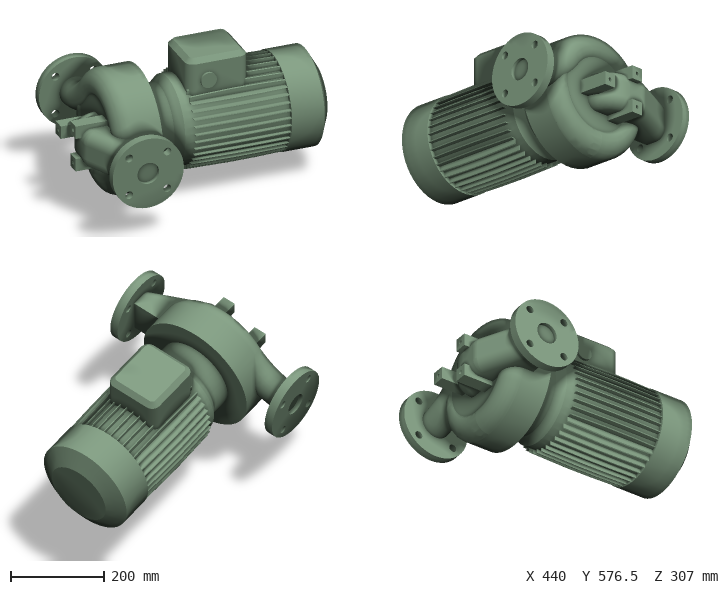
import math

import cadquery as cq


FACE_TO_FACE = 440.0
FLANGE_DIAMETER = 165.0
FLANGE_THICKNESS = 20.0
BOLT_CIRCLE = 125.0
BOLT_COUNT = 4
BOLT_HOLE_DIAMETER = 18.0
PORT_DIAMETER = 50.0
PORT_DEPTH = 10.0

CASING_RADIUS = 140.0
CASING_BACK_Y = 68.0
RING_TUBE_RADIUS = 34.5
RING_CREST_RADIUS = CASING_RADIUS - RING_TUBE_RADIUS
COVER_PLATE_Y = -27.0
RING_END_ANGLE = 270.0
TAIL_END_ANGLE = 160.0
TAIL_END_TUBE_RADIUS = 28.0
TAIL_SECTION_COUNT = 6

SUCTION_HALF_WIDTH = 42.5
SUCTION_BACK_Y = 24.0
SUCTION_FRONT_Y = -88.5
SUCTION_EDGE_RADIUS = 25.0
NOSE_RADIUS = 67.0
NOSE_CENTER_X = 29.5
BEND_CORNER_X = 75.0
BEND_RADIUS = 26.0
SUCTION_SLOPE = 25.0

FOOT_SIZE = 30.0
FOOT_END_Y = -101.0
FOOT_CENTERS = [(-45.0, 0.0), (39.0, 39.0), (39.0, -39.0)]
FOOT_HOLE_DIAMETER = 8.5
FOOT_HOLE_DEPTH = 20.0

LANTERN_RADIUS = 87.5
FRAME_RADIUS = 102.0
FAN_COVER_RADIUS = 112.5
FAN_COVER_END_RADIUS = 73.0
CONE_START_Y = 115.0
CONE_END_Y = 134.0
FIN_START_Y = 155.0
FAN_COVER_START_Y = 377.5
FAN_COVER_TAPER_Y = 453.0
MOTOR_END_Y = 475.5
FIN_PITCH_ANGLE = 9.0
FINS_PER_HALF_SIDE = 5
FIN_THICKNESS = 2.0
FIN_END_RADIUS = 111.0
FIN_CROWN_RADIUS = 113.0

BOX_WIDTH = 129.0
BOX_LENGTH = 141.0
BOX_TOP_Z = 167.0
BOX_CORNER_RADIUS = 20.0
BOX_CHAMFER = 11.0
GLAND_RADIUS = 18.0
GLAND_LENGTH = 6.0
GLAND_Y = 202.0
GLAND_Z = 115.0


def make_flange(side):
    """Drilled flange at the -X (side = -1) or +X (side = +1) end, with its blind port."""
    outer_face = cq.Plane(
        origin=(side * FACE_TO_FACE / 2, 0, 0), xDir=(0, 1, 0), normal=(-side, 0, 0)
    )
    flange = cq.Workplane(outer_face).circle(FLANGE_DIAMETER / 2).extrude(FLANGE_THICKNESS)
    holes = (
        cq.Workplane(outer_face)
        .polarArray(BOLT_CIRCLE / 2, 180 / BOLT_COUNT, 360, BOLT_COUNT)
        .circle(BOLT_HOLE_DIAMETER / 2)
        .extrude(FLANGE_THICKNESS)
    )
    return flange.cut(holes)


def make_port(side):
    """Port cylinder reaching inwards from the outer face of a flange."""
    face = cq.Plane(origin=(side * FACE_TO_FACE / 2, 0, 0), normal=(-side, 0, 0))
    return cq.Workplane(face).circle(PORT_DIAMETER / 2).extrude(PORT_DEPTH)


def discharge_bend():
    """Radius and end angle of the arc that leaves the flange along X and touches the ring crest."""
    start = FACE_TO_FACE / 2
    radius = (start**2 - RING_CREST_RADIUS**2) / (2 * RING_CREST_RADIUS)
    angle = math.degrees(math.atan2(radius, start))
    return radius, angle


def make_discharge_pipe():
    """Round pipe curving up from the -X flange into the start of the volute ring."""
    radius, angle = discharge_bend()
    start_x = -FACE_TO_FACE / 2
    turn = math.radians(90 - angle)

    def on_bend(bend_turn):
        return (start_x + radius * math.sin(bend_turn), radius * (1 - math.cos(bend_turn)))

    path = (
        cq.Workplane("XZ")
        .moveTo(*on_bend(0))
        .threePointArc(on_bend(turn / 2), on_bend(turn))
    )
    section = cq.Workplane("YZ", origin=(start_x, 0, 0)).circle(RING_TUBE_RADIUS)
    pipe = section.sweep(path)
    flange_zone = (
        cq.Workplane("YZ", origin=(start_x, 0, 0))
        .rect(FLANGE_DIAMETER, FLANGE_DIAMETER)
        .extrude(FLANGE_THICKNESS)
    )
    return pipe.cut(flange_zone)


def tube_half_section(angle, tube_radius):
    """Half disc on the front side (-Y) of the casing, touching its outer radius at an angle."""
    direction = math.radians(angle)
    center_radius = CASING_RADIUS - tube_radius
    radial = cq.Vector(math.cos(direction), 0, math.sin(direction))
    plane = cq.Plane(
        origin=(radial * center_radius).toTuple(),
        xDir=radial.toTuple(),
        normal=(math.sin(direction), 0, -math.cos(direction)),
    )
    return (
        cq.Workplane(plane)
        .moveTo(tube_radius, 0)
        .threePointArc((0, tube_radius), (-tube_radius, 0))
        .close()
    )


def make_ring():
    """Constant part of the volute, clockwise from the discharge joint to the bottom."""
    _, joint = discharge_bend()
    start_angle = 180 - joint
    sweep_angle = start_angle + 360 - RING_END_ANGLE
    inner_radius = RING_CREST_RADIUS - RING_TUBE_RADIUS
    half_disc = (
        cq.Workplane("XY")
        .moveTo(CASING_RADIUS, 0)
        .threePointArc((RING_CREST_RADIUS, -RING_TUBE_RADIUS), (inner_radius, 0))
        .close()
    )
    ring = half_disc.revolve(sweep_angle, (0, 0, 0), (0, 1, 0))
    return ring.rotate((0, 0, 0), (0, 1, 0), -start_angle)


def make_tail():
    """Narrowing part of the volute, from the bottom round to the discharge pipe."""
    sections = []
    for index in range(TAIL_SECTION_COUNT):
        share = index / (TAIL_SECTION_COUNT - 1)
        angle = RING_END_ANGLE + share * (TAIL_END_ANGLE - RING_END_ANGLE)
        tube_radius = RING_TUBE_RADIUS + share * (TAIL_END_TUBE_RADIUS - RING_TUBE_RADIUS)
        sections.append(tube_half_section(angle, tube_radius).val())
    return cq.Workplane(cq.Solid.makeLoft(sections))


def make_cover_plate():
    """Flat cover closing the middle of the volute ring."""
    return cq.Workplane("XZ").circle(RING_CREST_RADIUS).extrude(-COVER_PLATE_Y)


def make_suction_pipe():
    """Flat-sided pipe from the +X flange, bending into the middle of the cover plate."""
    end_x = FACE_TO_FACE / 2 - FLANGE_THICKNESS
    slope = math.tan(math.radians(SUCTION_SLOPE))
    end_y = SUCTION_FRONT_Y + (end_x - BEND_CORNER_X) * slope
    nose_center_y = SUCTION_FRONT_Y + NOSE_RADIUS
    nose_diagonal = NOSE_RADIUS * math.sqrt(0.5)
    nose_x = NOSE_CENTER_X - NOSE_RADIUS
    pipe = (
        cq.Workplane("XY")
        .moveTo(nose_x, SUCTION_BACK_Y)
        .lineTo(nose_x, nose_center_y)
        .threePointArc(
            (NOSE_CENTER_X - nose_diagonal, nose_center_y - nose_diagonal),
            (NOSE_CENTER_X, SUCTION_FRONT_Y),
        )
        .lineTo(BEND_CORNER_X, SUCTION_FRONT_Y)
        .lineTo(end_x, end_y)
        .lineTo(end_x, SUCTION_BACK_Y)
        .close()
        .extrude(SUCTION_HALF_WIDTH, both=True)
    )
    bend_edge = cq.selectors.NearestToPointSelector((BEND_CORNER_X, SUCTION_FRONT_Y, 0))
    pipe = pipe.edges("|Z").edges(bend_edge).fillet(BEND_RADIUS)
    return pipe.faces("<Y").edges(">Z or <Z").fillet(SUCTION_EDGE_RADIUS)


def make_foot(x, z):
    """Square foot standing on the cover plate, with a blind screw hole in its end."""
    end_face = cq.Plane(origin=(x, FOOT_END_Y, z), xDir=(1, 0, 0), normal=(0, 1, 0))
    foot = cq.Workplane(end_face).rect(FOOT_SIZE, FOOT_SIZE).extrude(COVER_PLATE_Y - FOOT_END_Y)
    hole = cq.Workplane(end_face).circle(FOOT_HOLE_DIAMETER / 2).extrude(FOOT_HOLE_DEPTH)
    return foot.cut(hole)


def make_casing_and_motor():
    """Turned body: casing drum, lantern, motor frame and tapered fan cover."""
    return (
        cq.Workplane("XY")
        .moveTo(0, 0)
        .lineTo(CASING_RADIUS, 0)
        .lineTo(CASING_RADIUS, CASING_BACK_Y)
        .lineTo(LANTERN_RADIUS, CASING_BACK_Y)
        .lineTo(LANTERN_RADIUS, CONE_START_Y)
        .lineTo(FRAME_RADIUS, CONE_END_Y)
        .lineTo(FRAME_RADIUS, FAN_COVER_START_Y)
        .lineTo(FAN_COVER_RADIUS, FAN_COVER_START_Y)
        .lineTo(FAN_COVER_RADIUS, FAN_COVER_TAPER_Y)
        .lineTo(FAN_COVER_END_RADIUS, MOTOR_END_Y)
        .lineTo(0, MOTOR_END_Y)
        .close()
        .revolve(360, (0, 0, 0), (0, 1, 0))
    )


def fin_offset(index):
    """Distance of a fin from the middle of its side, for equal angles at the fin tips."""
    return FIN_END_RADIUS * math.sin(math.radians(FIN_PITCH_ANGLE * (index + 0.5)))


def make_fins():
    """Parallel cooling fins on all four sides of the frame, with slightly crowned tips."""
    length = FAN_COVER_START_Y - FIN_START_Y
    middle_y = FIN_START_Y + length / 2
    envelope = (
        cq.Workplane("XY")
        .moveTo(0, FIN_START_Y)
        .lineTo(FIN_END_RADIUS, FIN_START_Y)
        .threePointArc((FIN_CROWN_RADIUS, middle_y), (FIN_END_RADIUS, FAN_COVER_START_Y))
        .lineTo(0, FAN_COVER_START_Y)
        .close()
        .revolve(360, (0, 0, 0), (0, 1, 0))
    )
    root_z = fin_offset(FINS_PER_HALF_SIDE - 1) - FIN_THICKNESS / 2
    height = FIN_CROWN_RADIUS - root_z
    offsets = [sign * fin_offset(index) for index in range(FINS_PER_HALF_SIDE) for sign in (-1, 1)]
    one_side = (
        cq.Workplane("XY", origin=(0, middle_y, root_z))
        .pushPoints([(offset, 0) for offset in offsets])
        .rect(FIN_THICKNESS, length)
        .extrude(height)
        .intersect(envelope)
    )
    return [one_side.rotate((0, 0, 0), (0, 1, 0), turn) for turn in (0, 90, 180, 270)]


def make_terminal_box():
    """Terminal box on top of the frame, with a cable gland on its +X side."""
    box = (
        cq.Workplane("XY", origin=(0, FIN_START_Y + BOX_LENGTH / 2, 0))
        .rect(BOX_WIDTH, BOX_LENGTH)
        .extrude(BOX_TOP_Z)
        .edges("|Z")
        .fillet(BOX_CORNER_RADIUS)
        .faces(">Z")
        .chamfer(BOX_CHAMFER)
    )
    gland = (
        cq.Workplane("YZ", origin=(0, GLAND_Y, GLAND_Z))
        .circle(GLAND_RADIUS)
        .extrude(BOX_WIDTH / 2 + GLAND_LENGTH)
    )
    return box.union(gland)


result = make_casing_and_motor()
result = result.union(make_ring())
result = result.union(make_tail())
result = result.union(make_discharge_pipe())
result = result.union(make_cover_plate())
result = result.union(make_suction_pipe())
for foot_x, foot_z in FOOT_CENTERS:
    result = result.union(make_foot(foot_x, foot_z))
for fin_side in make_fins():
    result = result.union(fin_side)
result = result.union(make_terminal_box())
for pipe_side in (-1, 1):
    result = result.union(make_flange(pipe_side)).cut(make_port(pipe_side))